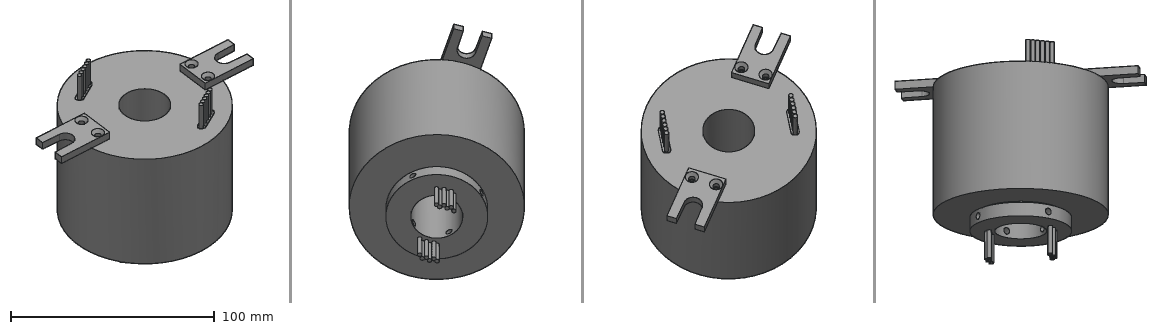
import cadquery as cq
import math

body_diameter = 86.0
body_height = 65.5
neck_diameter = 44.0
neck_height = 1.5
flange_diameter = 50
flange_height = 7.0
bore_diameter = 25.5
body_bottom = -body_height
flange_top = body_bottom - neck_height
flange_bottom = flange_top - flange_height

clamp_hole_diameter = 3.3
clamp_hole_count = 4
clamp_hole_start_angle = 45

lug_tip_distance = 61
lug_length = 30.6
lug_width = 19.5
lug_thickness = 4.1
fork_depth = 15.1
fork_end_radius = 4.6
fork_mouth_width = 9.8
lug_root_distance = lug_tip_distance - lug_length

screw_spacing = 12.7
screw_distance = 35.0
countersink_diameter = 6.5
countersink_angle = 90
screw_hole_diameter = 3.2
drilled_diameter = 2.2
drilled_depth = 6.1
drill_point_angle = 118

wire_diameter = 2.2
wire_free_length = 14.2

upper_row_radius = 32.0
upper_row_angle = 30
upper_wire_count = 6
upper_row_span = 12.5
upper_row_shift = -0.4
upper_wire_pitch = upper_row_span / (upper_wire_count - 1)
slot_length = 16.1
slot_width = 4.1
slot_depth = 0.6

lower_arc_rows = [(16.7, -17.3, 12.8), (15.5, -11.6, 13.8)]
lower_wires_per_arc = 3


def disc(diameter, bottom, height):
    return cq.Workplane("XY").workplane(offset=bottom).circle(diameter / 2).extrude(height)


def half_turn(shape):
    return shape.rotate((0, 0, 0), (0, 0, 1), 180)


def make_core():
    """Body, neck and flange, still without the bore."""
    core = disc(body_diameter, body_bottom, body_height)
    core = core.union(disc(neck_diameter, flange_top, neck_height))
    return core.union(disc(flange_diameter, flange_bottom, flange_height))


def make_clamp_holes():
    """Radial holes from the flange's rim into the bore."""
    hole = (
        cq.Workplane("YZ")
        .center(0, flange_bottom + flange_height / 2)
        .circle(clamp_hole_diameter / 2)
        .extrude(flange_diameter / 2)
    )
    holes = cq.Workplane("XY")
    for index in range(clamp_hole_count):
        angle = clamp_hole_start_angle + index * 360 / clamp_hole_count
        holes = holes.add(hole.rotate((0, 0, 0), (0, 0, 1), angle))
    return holes.combine()


def make_lug():
    """Lug on the +Y side: a plate with a slightly tapered, round-ended fork opening."""
    plate = cq.Workplane("XY").box(lug_width, lug_length, lug_thickness, centered=(True, False, False))
    plate = plate.translate((0, lug_root_distance, 0))
    fork_end = lug_tip_distance - fork_depth
    arc_center = fork_end + fork_end_radius
    fork = (
        cq.Workplane("XY")
        .moveTo(-fork_mouth_width / 2, lug_tip_distance)
        .lineTo(-fork_end_radius, arc_center)
        .threePointArc((0, fork_end), (fork_end_radius, arc_center))
        .lineTo(fork_mouth_width / 2, lug_tip_distance)
        .close()
        .extrude(lug_thickness)
    )
    return plate.cut(fork)


def make_screw_hole(x):
    """Countersunk hole through the lug, continued as a drilled hole in the body."""
    countersink_depth = (countersink_diameter - screw_hole_diameter) / 2 / math.tan(
        math.radians(countersink_angle / 2)
    )
    point_depth = drilled_diameter / 2 / math.tan(math.radians(drill_point_angle / 2))
    profile = (
        cq.Workplane("XZ")
        .moveTo(0, lug_thickness)
        .lineTo(countersink_diameter / 2, lug_thickness)
        .lineTo(screw_hole_diameter / 2, lug_thickness - countersink_depth)
        .lineTo(screw_hole_diameter / 2, 0)
        .lineTo(drilled_diameter / 2, 0)
        .lineTo(drilled_diameter / 2, -drilled_depth)
        .lineTo(0, -drilled_depth - point_depth)
        .close()
    )
    return profile.revolve(360, (0, 0), (0, 1)).translate((x, screw_distance, 0))


def place_upper_row(shape):
    """Move a row lying along Y at the axis out to its tangential place on the body."""
    return shape.translate((upper_row_radius, 0, 0)).rotate((0, 0, 0), (0, 0, 1), upper_row_angle)


def make_wire_slot():
    slot = cq.Workplane("XY").slot2D(slot_length, slot_width, 90).extrude(-slot_depth)
    return place_upper_row(slot)


def make_upper_wires():
    row = (
        cq.Workplane("XY")
        .workplane(offset=-slot_depth)
        .center(0, upper_row_shift)
        .rarray(1.2, upper_wire_pitch, 1, upper_wire_count)
        .circle(wire_diameter / 2)
        .extrude(slot_depth + wire_free_length)
    )
    return place_upper_row(row)


def make_lower_wires():
    """Staggered arcs of wires hanging from the flange on the -Y side."""
    wires = cq.Workplane("XY")
    for radius, first_angle, step in lower_arc_rows:
        for index in range(lower_wires_per_arc):
            angle = math.radians(first_angle + index * step)
            wire = disc(wire_diameter, flange_bottom - wire_free_length, wire_free_length)
            wires = wires.union(wire.translate((radius * math.sin(angle), -radius * math.cos(angle), 0)))
    return wires


lug = make_lug()
upper_wires = make_upper_wires()
lower_wires = make_lower_wires()
wire_slot = make_wire_slot()
bore = disc(bore_diameter, flange_bottom, -flange_bottom)

result = make_core().union(lug).union(half_turn(lug))
result = result.cut(bore)
result = result.cut(make_clamp_holes())
for x in (-screw_spacing / 2, screw_spacing / 2):
    screw_hole = make_screw_hole(x)
    result = result.cut(screw_hole).cut(half_turn(screw_hole))
result = result.cut(wire_slot).cut(half_turn(wire_slot))
result = result.union(upper_wires).union(half_turn(upper_wires))
result = result.union(lower_wires).union(half_turn(lower_wires))